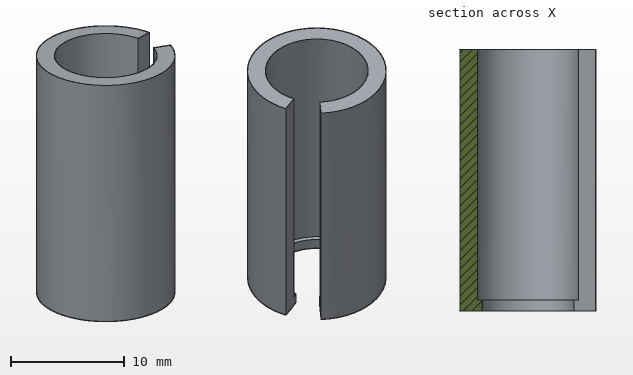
import cadquery as cq
import math

length = 23.0
outer_radius = 6.1
bore_radius = 4.5

lip_radius = 4.1
lip_height = 1.0

slit_half_angle = math.radians(15)
cutter_reach = 2 * outer_radius


def make_sleeve():
    """Tube with a bore that narrows to a lip at the bottom."""
    body = cq.Workplane("XY").circle(outer_radius).extrude(length)
    lip_opening = cq.Workplane("XY").circle(lip_radius).extrude(length)
    bore = cq.Workplane("XY", origin=(0, 0, lip_height)).circle(bore_radius).extrude(length)
    return body.cut(lip_opening).cut(bore)


def make_slit_cutter():
    """Wedge with its point on the sleeve axis."""
    half_width = cutter_reach * math.tan(slit_half_angle)
    return (
        cq.Workplane("XY")
        .polyline([(0, 0), (half_width, cutter_reach), (-half_width, cutter_reach)])
        .close()
        .extrude(length)
    )


result = make_sleeve().cut(make_slit_cutter())